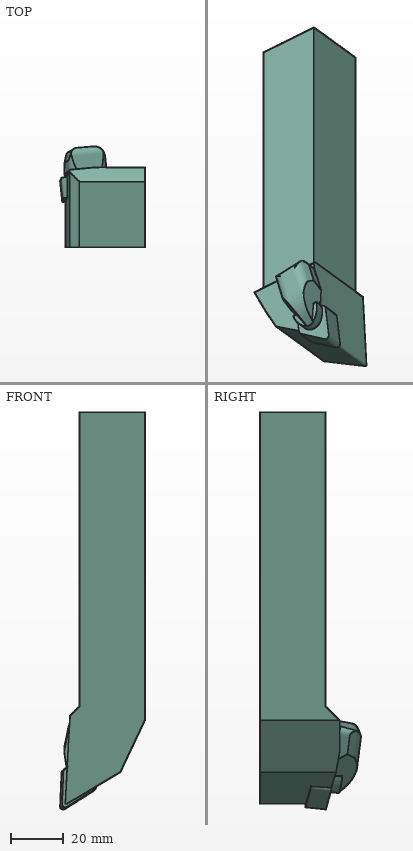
import cadquery as cq
import math


shank_side = 25.0
total_height = 151.4
neck_z = 39.4
head_depth = 30.4
head_step = 3.6
flank_angle = 3.0
head_tip_z = 1.8
heel_x, heel_z = 15.6, 14.2
relief_z = 34.0
head_tip_radius = 0.5

overall_width = 32.4
tip_x = shank_side - overall_width
tip_y = shank_side
rake_angle = 6.0
rake = math.tan(math.radians(rake_angle))
insert_side = 15.6
insert_thickness = 7.9
insert_radius = 1.2
pocket_clearance = 1.5
insert_corner = 55.0
end_edge_angle = 32.0
side_edge_angle = end_edge_angle + insert_corner

seat_point = (2.3, 30.1, 33.9)
seat_rise_x = rake
seat_rise_z = 0.13

clamp_axis_angle = 78.0
clamp_half_width = 7.3
clamp_rear = 22.7
clamp_top = 9.2
clamp_sink = 1.5
side_wall_height = 4.4
side_draft = 22.0
rear_draft = 7.0
rear_corner_radius = 3.0
top_radius = 3.8
waist_start = 10.0
waist_angle = 20.0
waist_draft = 13.0
waist_wall_height = 0.6
nose_top = 3.8
nose_radius = 4.2
nose_rear = 3.3
nose_rear_half_width = 5.5
nose_mid = 1.8
nose_mid_half_width = 5.3
nose_front_half_width = 4.8
nose_front_angle = 33.0
slope_angle = 42.0
slope_foot = (-3.6, 3.6)
slope_radius = 15.1
cutter_reach = 45.4

rake_plane = cq.Plane(
    origin=(tip_x + insert_radius * rake**2, tip_y, 0),
    xDir=(1, rake, 0),
    normal=(rake, -1, rake),
)


def polar(length, angle):
    """Vector of a given length at an angle in degrees."""
    return (length * math.cos(math.radians(angle)), length * math.sin(math.radians(angle)))


def add(a, b):
    return (a[0] + b[0], a[1] + b[1])


half_corner = math.radians(insert_corner / 2)
bisector = end_edge_angle + insert_corner / 2
sharp_tip = add(
    (insert_radius, insert_radius), polar(-insert_radius / math.sin(half_corner), bisector)
)
insert_centre = add(sharp_tip, polar(insert_side * math.cos(half_corner), bisector))


def insert_prism(above):
    """Rhombic prism below the rake face, carried on upwards by `above`."""
    end_corner = add(sharp_tip, polar(insert_side, end_edge_angle))
    side_corner = add(sharp_tip, polar(insert_side, side_edge_angle))
    far_corner = add(end_corner, polar(insert_side, side_edge_angle))
    return (
        cq.Workplane(rake_plane)
        .workplane(offset=-above)
        .polyline([sharp_tip, end_corner, far_corner, side_corner])
        .close()
        .extrude(insert_thickness + above)
        .edges(cq.selectors.ParallelDirSelector(rake_plane.zDir))
        .fillet(insert_radius)
    )


def half_space_above_seat():
    """Block that lies on the seat plane."""
    plane = cq.Plane(
        origin=seat_point, xDir=(1, seat_rise_x, 0), normal=(-seat_rise_x, 1, -seat_rise_z)
    )
    return cq.Workplane(plane).rect(4 * cutter_reach, 4 * cutter_reach).extrude(cutter_reach)


def make_holder_blank():
    """Shank and head, before the insert pocket and the clamp."""
    flank_top_z = neck_z - head_step
    tip_shift = (flank_top_z - head_tip_z) * math.tan(math.radians(flank_angle))
    head = (
        cq.Workplane("XZ")
        .polyline(
            [
                (0, neck_z),
                (-head_step, flank_top_z),
                (-head_step - tip_shift, head_tip_z),
                (heel_x, heel_z),
                (shank_side, relief_z),
                (shank_side, neck_z),
            ]
        )
        .close()
        .extrude(-head_depth)
        .edges("|Y")
        .edges("<Z")
        .fillet(head_tip_radius)
    )
    swell = head_depth - shank_side
    shoulder = (
        cq.Workplane("YZ")
        .polyline(
            [
                (shank_side, neck_z),
                (shank_side + 2 * swell, neck_z),
                (shank_side + 2 * swell, neck_z - 2 * swell),
            ]
        )
        .close()
        .extrude(2 * cutter_reach, both=True)
    )
    head = head.cut(shoulder).cut(half_space_above_seat())
    shank = cq.Workplane("XY", origin=(0, 0, neck_z)).box(
        shank_side, shank_side, total_height - neck_z, centered=False
    )
    return head.union(shank)


def make_clamp():
    """Clamp built upright: axis along Y with the nose at -Y, height along Z."""
    body = clamp_section().intersect(clamp_plan())
    for side in (-1, 1):
        body = body.cut(waist_cutter(side))
    return body.union(nose_prism()).intersect(clamp_profile())


def clamp_section():
    """Cross-section along the clamp: upright walls, drafted shoulders and a rounded flat top."""
    inset = (clamp_top - side_wall_height) * math.tan(math.radians(side_draft))
    left_side = [
        (-clamp_half_width, -clamp_sink),
        (-clamp_half_width, side_wall_height),
        (-clamp_half_width + inset, clamp_top),
    ]
    right_side = [(-x, z) for x, z in reversed(left_side)]
    return (
        cq.Workplane("XZ")
        .polyline(left_side + right_side)
        .close()
        .extrude(cutter_reach, both=True)
        .faces(">Z")
        .edges("|Y")
        .fillet(top_radius)
    )


def clamp_plan():
    """Upright outline: a block with rounded rear corners and a round nose front."""
    height = clamp_sink + clamp_top
    base = cq.Workplane("XY", origin=(0, 0, -clamp_sink))
    block = (
        base.center(0, clamp_rear / 2)
        .rect(2 * clamp_half_width, clamp_rear)
        .extrude(height)
        .faces(">Y")
        .edges("|Z")
        .fillet(rear_corner_radius)
    )
    return block.union(base.circle(nose_radius).extrude(height))


def clamp_profile():
    """Side outline: front slope running into the flat top, and the leaning rear wall."""
    foot_y, foot_z = slope_foot
    slope = math.tan(math.radians(slope_angle))
    lean = math.tan(math.radians(rear_draft))
    front_y = foot_y - (foot_z + clamp_sink) / slope
    crest_y = foot_y + (clamp_top - foot_z) / slope
    profile = (
        cq.Workplane("YZ")
        .polyline(
            [
                (front_y, -clamp_sink),
                (crest_y, clamp_top),
                (clamp_rear - lean * clamp_top, clamp_top),
                (clamp_rear + lean * clamp_sink, -clamp_sink),
            ]
        )
        .close()
        .extrude(cutter_reach, both=True)
    )
    profile = profile.faces(">Z").edges(">Y").fillet(top_radius)
    return profile.faces(">Z").edges("<Y").fillet(slope_radius)


def waist_cutter(side):
    """Block beyond the drafted side wall that narrows the clamp towards its nose; side is -1 or 1."""
    lean = math.tan(math.radians(waist_draft))
    wall = (
        cq.Workplane("XZ")
        .polyline(
            [
                (0, -clamp_sink),
                (0, waist_wall_height),
                (-lean * cutter_reach, waist_wall_height + cutter_reach),
                (cutter_reach, waist_wall_height + cutter_reach),
                (cutter_reach, -clamp_sink),
            ]
        )
        .close()
        .extrude(cutter_reach, both=True)
        .rotate((0, 0, 0), (0, 0, 1), -waist_angle)
        .translate((clamp_half_width, waist_start, 0))
    )
    return wall if side > 0 else wall.mirror("YZ")


def nose_prism():
    """Upright nose pad, rounded about the centre of the insert."""
    tangent_x, tangent_y = polar(nose_radius, -nose_front_angle)
    return (
        cq.Workplane("XY", origin=(0, 0, -clamp_sink))
        .moveTo(-nose_rear_half_width, nose_rear)
        .lineTo(-nose_mid_half_width, nose_mid)
        .lineTo(-nose_front_half_width, 0)
        .lineTo(-tangent_x, tangent_y)
        .threePointArc((0, -nose_radius), (tangent_x, tangent_y))
        .lineTo(nose_front_half_width, 0)
        .lineTo(nose_mid_half_width, nose_mid)
        .lineTo(nose_rear_half_width, nose_rear)
        .close()
        .extrude(clamp_sink + nose_top)
    )


def lay_on_rake_face(upright_clamp):
    """Turns the clamp's Y axis to the clamp direction and its Z axis to the outward side of the rake face."""
    across_x, across_y = polar(1, clamp_axis_angle + 90)
    frame = cq.Plane(
        origin=rake_plane.toWorldCoords(insert_centre),
        xDir=rake_plane.xDir * across_x + rake_plane.yDir * across_y,
        normal=rake_plane.zDir * -1,
    )
    return cq.Workplane(upright_clamp.val().located(cq.Location(frame)))


insert = insert_prism(0)
clamp = lay_on_rake_face(make_clamp()).intersect(half_space_above_seat()).cut(insert)
holder = make_holder_blank().cut(insert_prism(pocket_clearance)).union(clamp)
result = cq.Compound.makeCompound([*holder.vals(), *insert.vals()])